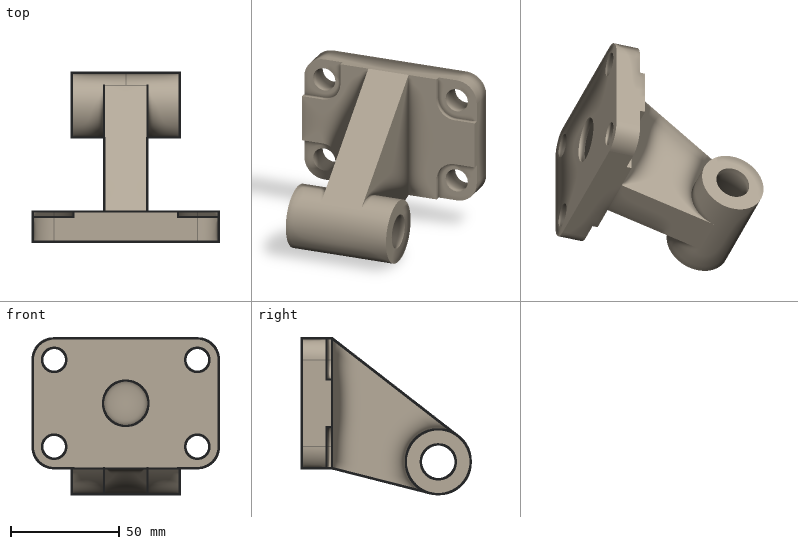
import cadquery as cq
import math

plate_width = 86.0
plate_height = 60.0
plate_thickness = 14.0
corner_radius = 10.0

hole_diameter = 11.0
hole_x = plate_width / 2 - corner_radius
hole_z = plate_height / 2 - corner_radius
seat_radius = 9.0
seat_depth = 2.5

pocket_diameter = 21.0
pocket_depth = 3.0

barrel_diameter = 30.0
barrel_radius = barrel_diameter / 2
barrel_length = 50.0
bore_diameter = 16.0
barrel_y = 63.0
barrel_z = -27.0

web_width = 20.0


def cylinder_along_y(diameter, y_start, length):
    """Cylinder on the plate axis, growing toward +Y."""
    return cq.Workplane("XZ", origin=(0, y_start, 0)).circle(diameter / 2).extrude(-length)


def cylinder_along_x(diameter, length):
    """Cylinder on the barrel axis, centred on X = 0."""
    return (
        cq.Workplane("YZ")
        .center(barrel_y, barrel_z)
        .circle(diameter / 2)
        .extrude(length / 2, both=True)
    )


def make_plate():
    return (
        cq.Workplane("XZ")
        .rect(plate_width, plate_height)
        .extrude(-plate_thickness)
        .edges("|Y")
        .fillet(corner_radius)
    )


def corner_seat(side_x, side_z):
    """Cutter open to both plate edges, with its inner corner rounded about the hole."""
    inner_x = side_x * (hole_x - seat_radius)
    inner_z = side_z * (hole_z - seat_radius)
    outer_x = side_x * plate_width / 2
    outer_z = side_z * plate_height / 2
    arc_offset = seat_radius * math.sqrt(0.5)
    arc_middle = (side_x * (hole_x - arc_offset), side_z * (hole_z - arc_offset))
    return (
        cq.Workplane("XZ", origin=(0, plate_thickness - seat_depth, 0))
        .moveTo(outer_x, inner_z)
        .lineTo(side_x * hole_x, inner_z)
        .threePointArc(arc_middle, (inner_x, side_z * hole_z))
        .lineTo(inner_x, outer_z)
        .lineTo(outer_x, outer_z)
        .close()
        .extrude(-seat_depth)
    )


def tangent_point(start, turn):
    """Point (y, z) where a line from start touches the barrel; turn picks the side."""
    dy = start[0] - barrel_y
    dz = start[1] - barrel_z
    half_angle = math.acos(barrel_radius / math.hypot(dy, dz))
    angle = math.atan2(dz, dy) + turn * half_angle
    return (
        barrel_y + barrel_radius * math.cos(angle),
        barrel_z + barrel_radius * math.sin(angle),
    )


def make_web():
    """Web from the full height of the plate's back face, tangent to the barrel."""
    top = (plate_thickness, plate_height / 2)
    bottom = (plate_thickness, -plate_height / 2)
    return (
        cq.Workplane("YZ")
        .polyline([
            top,
            tangent_point(top, -1),
            (barrel_y, barrel_z),
            tangent_point(bottom, 1),
            bottom,
        ])
        .close()
        .extrude(web_width / 2, both=True)
    )


plate = make_plate()
for side_x in (-1, 1):
    for side_z in (-1, 1):
        hole = cylinder_along_y(hole_diameter, 0, plate_thickness)
        plate = plate.cut(hole.translate((side_x * hole_x, 0, side_z * hole_z)))
        plate = plate.cut(corner_seat(side_x, side_z))
plate = plate.cut(cylinder_along_y(pocket_diameter, 0, pocket_depth))

result = (
    plate
    .union(make_web())
    .union(cylinder_along_x(barrel_diameter, barrel_length))
    .cut(cylinder_along_x(bore_diameter, barrel_length))
)